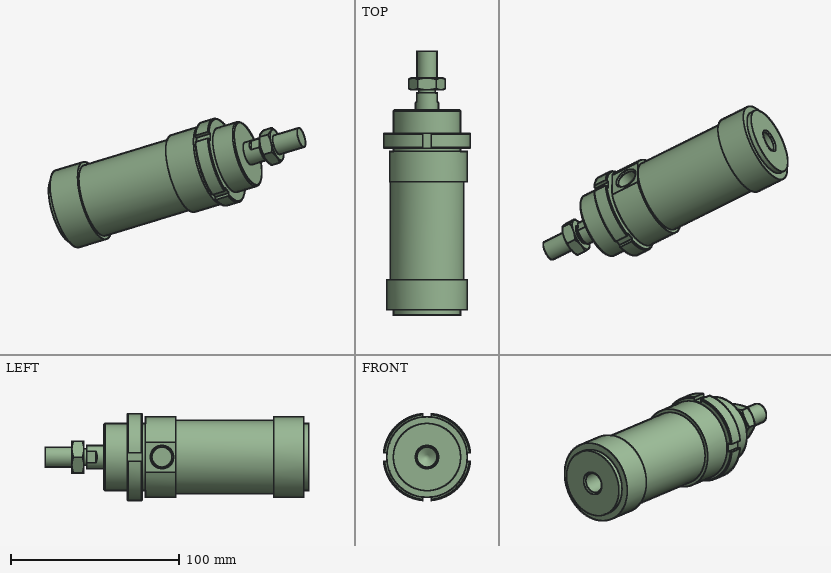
import cadquery as cq
import math


total_length = 157.0
rear_cap_start = 3.0
rear_cap_end = 21.0
head_start = 79.1
head_end = 97.3
ring_start = 99.0
ring_width = 9.1
boss_end = 122.0
neck_start = 132.2
nut_start = 133.9
nut_thickness = 7.0

cap_radius = 24.0
tube_radius = 22.0
boss_diameter = 40.0
boss_radius = boss_diameter / 2
boss_chamfer = 0.8
port_flat_offset = 22.3
thread_hole_radius = 6.0
hole_chamfer = 1.0
port_y = 87.5
port_depth = 9.4
rear_hole_depth = 15.7
drill_point_angle = 118.0

ring_diameter = 52.0
ring_radius = ring_diameter / 2
ring_chamfer = 0.6
slot_count = 4
slot_width = 5.0
slot_depth = 2.4

rod_diameter = 14.0
rod_radius = rod_diameter / 2
thread_radius = 6.0
neck_radius = 5.0
wrench_across_flats = 12.2
wrench_flat_length = 5.3

nut_across_flats = 19.0
nut_chamfer_angle = 30.0


def turned(profile):
    """Solid of revolution about the Y axis from (radius, y) points."""
    return cq.Workplane("XY").polyline(profile).close().revolve(360, (0, 0, 0), (0, 1, 0))


def cylinder_along_y(radius, start, end):
    """Plain cylinder on the Y axis."""
    return turned([(0, start), (radius, start), (radius, end), (0, end)])


def make_housing():
    housing = turned([
        (0, 0),
        (boss_radius, 0),
        (boss_radius, rear_cap_start),
        (cap_radius, rear_cap_start),
        (cap_radius, rear_cap_end),
        (tube_radius, rear_cap_end),
        (tube_radius, head_start),
        (cap_radius, head_start),
        (cap_radius, head_end),
        (boss_radius, head_end),
        (boss_radius, boss_end - boss_chamfer),
        (boss_radius - boss_chamfer, boss_end),
        (0, boss_end),
    ])

    flat_cut = cq.Workplane("XY").box(
        cap_radius, head_end - head_start, 2 * cap_radius
    ).translate((-port_flat_offset - cap_radius / 2, (head_start + head_end) / 2, 0))
    housing = housing.cut(flat_cut)

    mouth_radius = thread_hole_radius + hole_chamfer
    port = cq.Workplane("XY").polyline([
        (-port_flat_offset, port_y),
        (-port_flat_offset, port_y + mouth_radius),
        (-port_flat_offset + hole_chamfer, port_y + thread_hole_radius),
        (-port_flat_offset + port_depth, port_y + thread_hole_radius),
        (-port_flat_offset + port_depth, port_y),
    ]).close().revolve(360, (0, port_y, 0), (1, port_y, 0))
    housing = housing.cut(port)

    point_depth = thread_hole_radius / math.tan(math.radians(drill_point_angle / 2))
    rear_hole = turned([
        (0, 0),
        (mouth_radius, 0),
        (thread_hole_radius, hole_chamfer),
        (thread_hole_radius, rear_hole_depth),
        (0, rear_hole_depth + point_depth),
    ])
    return housing.cut(rear_hole)


def make_ring_nut():
    ring_end = ring_start + ring_width
    ring = turned([
        (boss_radius, ring_start),
        (ring_radius - ring_chamfer, ring_start),
        (ring_radius, ring_start + ring_chamfer),
        (ring_radius, ring_end - ring_chamfer),
        (ring_radius - ring_chamfer, ring_end),
        (boss_radius, ring_end),
    ])
    slot_height = 2 * slot_depth
    slot = cq.Workplane("XY").box(slot_width, ring_width, slot_height).translate(
        (0, ring_start + ring_width / 2, ring_radius)
    )
    for i in range(slot_count):
        ring = ring.cut(slot.rotate((0, 0, 0), (0, 1, 0), i * 360 / slot_count))
    return ring


def make_rod():
    rod = turned([
        (0, boss_end),
        (rod_radius, boss_end),
        (rod_radius, neck_start),
        (neck_radius, neck_start),
        (neck_radius, nut_start),
        (thread_radius, nut_start),
        (thread_radius, total_length),
        (0, total_length),
    ])
    wrench_flat_offset = wrench_across_flats / 2
    depth = rod_radius - wrench_flat_offset
    flat_end = neck_start - wrench_flat_length
    for side in (-1, 1):
        flat_cut = cq.Workplane("XY").polyline([
            (side * wrench_flat_offset, neck_start),
            (side * wrench_flat_offset, flat_end),
            (side * rod_radius, flat_end - depth),
            (side * rod_radius, neck_start),
        ]).close().extrude(rod_radius, both=True)
        rod = rod.cut(flat_cut)
    return rod


def make_hex_nut():
    nut_end = nut_start + nut_thickness
    corner_radius = nut_across_flats / 2 / math.cos(math.pi / 6)
    hexagon = cq.Workplane("XZ", origin=(0, nut_end, 0)).polygon(6, 2 * corner_radius)
    nut = hexagon.extrude(nut_thickness)

    face_radius = nut_across_flats / 2
    drop = (corner_radius - face_radius) * math.tan(math.radians(nut_chamfer_angle))
    nut = nut.intersect(turned([
        (0, nut_start),
        (face_radius, nut_start),
        (corner_radius, nut_start + drop),
        (corner_radius, nut_end - drop),
        (face_radius, nut_end),
        (0, nut_end),
    ]))
    return nut.cut(cylinder_along_y(thread_radius, nut_start, nut_end))


housing = make_housing()
ring_nut = make_ring_nut()
rod = make_rod()
hex_nut = make_hex_nut()

result = cq.Compound.makeCompound([housing.val(), ring_nut.val(), rod.val(), hex_nut.val()])